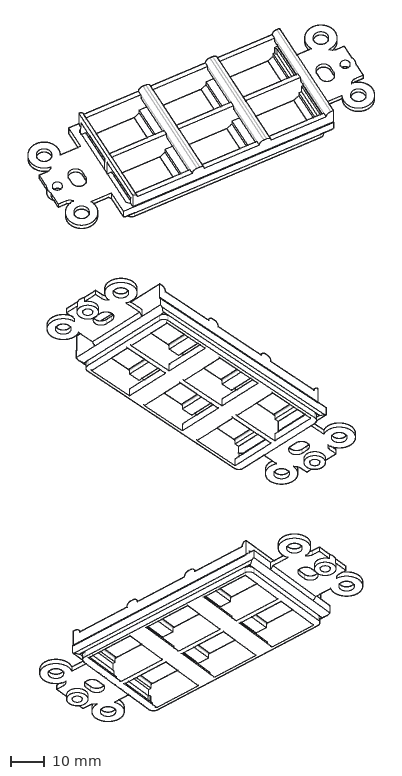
import cadquery as cq
import math

LIP_TOP = 2.0
SIDE_CHAMFER_LOW = 2.2
SIDE_CHAMFER_HIGH = 2.8
END_CHAMFER_HIGH = 3.2
FLANGE_TOP = 6.0
WALL_TOP = 10.0
TOTAL_HEIGHT = 11.6

FLANGE_HALF_X = 35.0 / 2
FLANGE_HALF_Y = 35.4
LIP_HALF_X = 16.7
LIP_HALF_Y = 33.1
LIP_CORNER_RADIUS = 1.9
UPPER_HALF_X = 17.2

ROWS = 3
ROW_PITCH = 22.5
FIRST_CELL_Y = -30.6
CELL_LENGTH = 18.5
CELL_HALF_SPAN_X = 15.7
RIB_WIDTH = 1.5
BAR_ROUND = TOTAL_HEIGHT - WALL_TOP
UPPER_FRONT_Y = FIRST_CELL_Y - BAR_ROUND

SILL_TOP = 2.7
SILL_STEP_Z = 1.2
SILL_OVERHANG = 0.5
SILL_SLOPE_RUN = 1.8

WINDOW_TOP = 8.5
PASSAGE_REAR_Y = 33.9
REAR_POCKET_Y = 33.3
REAR_POCKET_TOP = 5.4
POCKET_CHAMFER = 0.8

TAB_THICKNESS = 1.7
TAB_BOTTOM = FLANGE_TOP - TAB_THICKNESS
TAB_END_Y = 51.3
NECK_HALF_X = 9.8
NOSE_HALF_X = 6.1
NOTCH_START_Y = 48.5
NOTCH_MID = (6.5, 47.4)
NOTCH_END = (7.3, 46.6)
GUSSET_RUN = 0.9
EAR_X = 12.0
EAR_Y = 46.6
EAR_DIAMETER = 9.7
EAR_HOLE_DIAMETER = 4.6
BOSS_Y = 48.4
BOSS_DIAMETER = 6.4
BOSS_BOTTOM = 2.8
SCREW_HOLE_DIAMETER = 3.0
SLOT_Y = 41.7
SLOT_LENGTH = 6.7
SLOT_WIDTH = 4.6


def box(x0, x1, y0, y1, z0, z1):
    """Axis-aligned block given by its limits."""
    return cq.Workplane("XY").box(x1 - x0, y1 - y0, z1 - z0, centered=False).translate((x0, y0, z0))


def cell_front(row):
    return FIRST_CELL_Y + row * ROW_PITCH


def cell_rear(row):
    return cell_front(row) + CELL_LENGTH


def flange_body():
    """Flange with chamfered underside, standing on the rounded lip."""
    along_y = (
        cq.Workplane("YZ")
        .polyline([
            (-FLANGE_HALF_Y, FLANGE_TOP),
            (-FLANGE_HALF_Y, END_CHAMFER_HIGH),
            (-LIP_HALF_Y, LIP_TOP),
            (LIP_HALF_Y, LIP_TOP),
            (FLANGE_HALF_Y, END_CHAMFER_HIGH),
            (FLANGE_HALF_Y, FLANGE_TOP),
        ])
        .close()
        .extrude(FLANGE_HALF_X, both=True)
    )
    along_x = (
        cq.Workplane("XZ")
        .polyline([
            (-FLANGE_HALF_X, FLANGE_TOP),
            (-FLANGE_HALF_X, SIDE_CHAMFER_HIGH),
            (-LIP_HALF_X, SIDE_CHAMFER_LOW),
            (-LIP_HALF_X, LIP_TOP),
            (LIP_HALF_X, LIP_TOP),
            (LIP_HALF_X, SIDE_CHAMFER_LOW),
            (FLANGE_HALF_X, SIDE_CHAMFER_HIGH),
            (FLANGE_HALF_X, FLANGE_TOP),
        ])
        .close()
        .extrude(FLANGE_HALF_Y, both=True)
    )
    lip = box(-LIP_HALF_X, LIP_HALF_X, -LIP_HALF_Y, LIP_HALF_Y, 0, LIP_TOP)
    return along_y.intersect(along_x).union(lip.edges("|Z").fillet(LIP_CORNER_RADIUS))


def upper_block():
    """Upper walls: a side outline whose top rises into a round-edged bar at each row boundary."""
    outline = cq.Workplane("YZ").moveTo(UPPER_FRONT_Y, FLANGE_TOP).lineTo(UPPER_FRONT_Y, TOTAL_HEIGHT)
    diagonal = BAR_ROUND * math.sqrt(0.5)
    for row in range(ROWS):
        front = cell_front(row)
        rear = cell_rear(row)
        crest_end = front - BAR_ROUND
        crest_start = rear + BAR_ROUND
        if row > 0:
            outline = outline.lineTo(crest_end, TOTAL_HEIGHT)
        outline = (
            outline
            .threePointArc((crest_end + diagonal, WALL_TOP + diagonal), (front, WALL_TOP))
            .lineTo(rear, WALL_TOP)
            .threePointArc((crest_start - diagonal, WALL_TOP + diagonal), (crest_start, TOTAL_HEIGHT))
        )
    return (
        outline
        .lineTo(FLANGE_HALF_Y, TOTAL_HEIGHT)
        .lineTo(FLANGE_HALF_Y, FLANGE_TOP)
        .close()
        .extrude(UPPER_HALF_X, both=True)
    )


def cell_cut(row):
    """Through opening of one row, leaving the stepped and sloped sill at its rear."""
    front = cell_front(row)
    rear = cell_rear(row)
    step = rear - SILL_OVERHANG
    return (
        cq.Workplane("YZ")
        .polyline([
            (front, TOTAL_HEIGHT),
            (front, 0),
            (step - SILL_SLOPE_RUN, 0),
            (step, SILL_STEP_Z),
            (step, SILL_TOP),
            (rear, SILL_TOP),
            (rear, TOTAL_HEIGHT),
        ])
        .close()
        .extrude(CELL_HALF_SPAN_X, both=True)
    )


def interior_cut():
    """All cells, the passage beneath the bars and the corner-chamfered pockets, less the centre rib."""
    span = CELL_HALF_SPAN_X
    passage = box(-span, span, UPPER_FRONT_Y, PASSAGE_REAR_Y, REAR_POCKET_TOP, WINDOW_TOP)
    front_pocket = box(-span, span, -LIP_HALF_Y, 0, SILL_TOP, FLANGE_TOP)
    rear_pocket = box(-span, span, 0, REAR_POCKET_Y, SILL_TOP, REAR_POCKET_TOP)
    front_pocket = front_pocket.edges("|Z and <Y").chamfer(POCKET_CHAMFER)
    rear_pocket = rear_pocket.edges("|Z and >Y").chamfer(POCKET_CHAMFER)
    cut = passage.union(front_pocket).union(rear_pocket)
    for row in range(ROWS):
        cut = cut.union(cell_cut(row))
    rib = box(-RIB_WIDTH / 2, RIB_WIDTH / 2, UPPER_FRONT_Y, FLANGE_HALF_Y, 0, TOTAL_HEIGHT)
    return cut.cut(rib)


def mounting_tab():
    """Tab at the +Y end: notched plate, two ears, a screw boss, a gusset and the holes."""
    plate = (
        cq.Workplane("XY", origin=(0, 0, TAB_BOTTOM))
        .moveTo(0, FLANGE_HALF_Y)
        .lineTo(NECK_HALF_X, FLANGE_HALF_Y)
        .lineTo(NECK_HALF_X, NOTCH_END[1])
        .lineTo(*NOTCH_END)
        .threePointArc(NOTCH_MID, (NOSE_HALF_X, NOTCH_START_Y))
        .lineTo(NOSE_HALF_X, TAB_END_Y)
        .lineTo(0, TAB_END_Y)
        .mirrorY()
        .extrude(TAB_THICKNESS)
    )
    ear_centres = [(-EAR_X, EAR_Y), (EAR_X, EAR_Y)]
    ears = (
        cq.Workplane("XY", origin=(0, 0, TAB_BOTTOM))
        .pushPoints(ear_centres)
        .circle(EAR_DIAMETER / 2)
        .extrude(TAB_THICKNESS)
    )
    boss = (
        cq.Workplane("XY", origin=(0, BOSS_Y, BOSS_BOTTOM))
        .circle(BOSS_DIAMETER / 2)
        .extrude(FLANGE_TOP - BOSS_BOTTOM)
    )
    gusset = (
        cq.Workplane("YZ")
        .polyline([
            (FLANGE_HALF_Y, END_CHAMFER_HIGH),
            (FLANGE_HALF_Y + GUSSET_RUN, TAB_BOTTOM),
            (FLANGE_HALF_Y, TAB_BOTTOM),
        ])
        .close()
        .extrude(NECK_HALF_X, both=True)
    )
    holes = (
        cq.Workplane("XY")
        .pushPoints(ear_centres)
        .circle(EAR_HOLE_DIAMETER / 2)
        .extrude(FLANGE_TOP)
    )
    screw_hole = cq.Workplane("XY").center(0, BOSS_Y).circle(SCREW_HOLE_DIAMETER / 2).extrude(FLANGE_TOP)
    slot = cq.Workplane("XY").center(0, SLOT_Y).slot2D(SLOT_LENGTH, SLOT_WIDTH).extrude(FLANGE_TOP)
    tab = plate.union(ears).union(boss).union(gusset)
    return tab.cut(holes).cut(screw_hole).cut(slot)


frame = flange_body().union(upper_block()).cut(interior_cut())
tab = mounting_tab()
result = frame.union(tab).union(tab.mirror("XZ"))